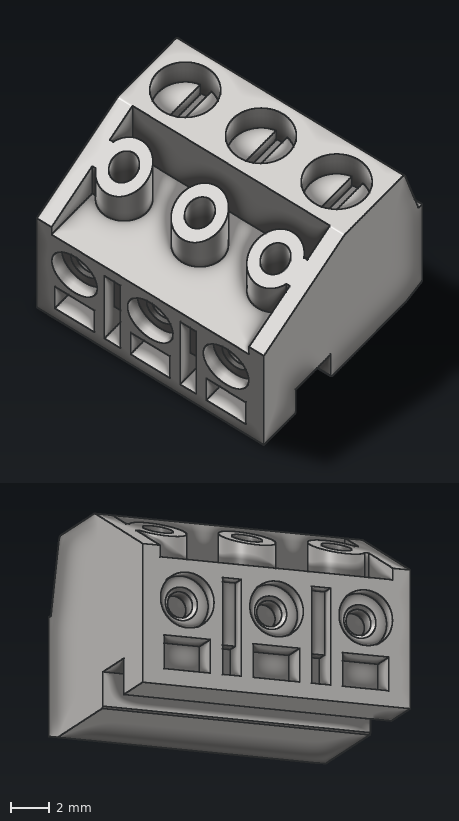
import cadquery as cq

width = 15.0
depth = 13.5
height = 10.8
front_y = -depth / 2
back_y = front_y + depth

pole_count = 3
pitch = 5.0
pole_xs = [(i - (pole_count - 1) / 2) * pitch for i in range(pole_count)]
gap_xs = [(left + right) / 2 for left, right in zip(pole_xs, pole_xs[1:])]

front_height = 7.48
slope_top_y = front_y + 6.9
top_back_y = back_y - 1.52
ledge_depth = 0.32
ledge_z = 6.8
bottom_bevel_length = 1.35
bottom_bevel_height = 0.36
ridge_radius = 0.3

post_y = front_y + 4.22
channel_width = 2.98
channel_height = 1.95
channel_chamfer = 0.1

pocket_width = 13.04
pocket_floor_z = 6.86
post_diameter = 3.0
post_bore_diameter = 1.6
post_rib_width = 1.5

screw_y = front_y + 9.43
screw_hole_diameter = 3.7
screw_head_diameter = 3.6
screw_recess = 1.6
screw_slot_width = 0.73
screw_slot_depth = 0.8

entry_z = 4.67
entry_diameter = 3.0
entry_depth = 0.85
entry_bore_diameter = 1.4
entry_bore_depth = 2.0
entry_bore_chamfer = 0.2

window_width = 2.6
window_bottom_z = 0.85
window_top_z = 2.67
window_depth = 1.6
slot_width = 1.05
slot_top_z = 6.08
slot_depth = entry_depth


def block(center_x, size_x, y_min, y_max, z_min, z_max):
    """Axis-aligned box centred on center_x."""
    box = cq.Workplane("XY").box(size_x, y_max - y_min, z_max - z_min, centered=(True, False, False))
    return box.translate((center_x, y_min, z_min))


def upright_cylinder(x, y, diameter, z_min, z_max):
    return cq.Workplane("XY", origin=(x, y, z_min)).circle(diameter / 2).extrude(z_max - z_min)


def front_cylinder(x, z, diameter, start, length):
    """Cylinder running into the part from a given depth behind the front face."""
    plane = cq.Plane(origin=(x, front_y + start, z), xDir=(1, 0, 0), normal=(0, 1, 0))
    return cq.Workplane(plane).circle(diameter / 2).extrude(length)


def make_envelope():
    """Side profile swept over the full width, with both top ridges rounded."""
    profile = [
        (front_y, 0),
        (front_y, front_height),
        (slope_top_y, height),
        (top_back_y, height),
        (back_y - ledge_depth, ledge_z),
        (back_y, ledge_z),
        (back_y, bottom_bevel_height),
        (back_y - bottom_bevel_length, 0),
    ]
    solid = cq.Workplane("YZ").polyline(profile).close().extrude(width / 2, both=True)
    for ridge_y in (slope_top_y, top_back_y):
        ridge = cq.selectors.NearestToPointSelector((0, ridge_y, height))
        solid = solid.edges(ridge).fillet(ridge_radius)
    return solid


def make_channel():
    """Cross channel whose rear lower edge is slightly broken."""
    channel_front = post_y - channel_width / 2
    channel_back = post_y + channel_width / 2
    profile = [
        (channel_front, 0),
        (channel_front, channel_height),
        (channel_back, channel_height),
        (channel_back, channel_chamfer),
        (channel_back + channel_chamfer, 0),
    ]
    return cq.Workplane("YZ").polyline(profile).close().extrude(width / 2, both=True)


def make_pocket():
    """Front pocket that leaves the posts, and ribs tying the outer posts to the side walls."""
    pocket = block(0, pocket_width, front_y, slope_top_y, pocket_floor_z, height)
    for x in pole_xs:
        pocket = pocket.cut(upright_cylinder(x, post_y, post_diameter, pocket_floor_z, height))
    rib_front = post_y - post_rib_width / 2
    rib_back = post_y + post_rib_width / 2
    wall_x = pocket_width / 2
    for side in (-1, 1):
        rib_length = wall_x - pole_xs[-1]
        rib_center = side * (wall_x - rib_length / 2)
        pocket = pocket.cut(block(rib_center, rib_length, rib_front, rib_back, pocket_floor_z, height))
    return pocket


def make_screw_recess(x):
    """Round hole around a slotted screw head; the gap round the head is as deep as the slot."""
    head_z = height - screw_recess
    floor_z = head_z - screw_slot_depth
    hole_radius = screw_hole_diameter / 2
    hole = upright_cylinder(x, screw_y, screw_hole_diameter, floor_z, height)
    slot = block(x, screw_slot_width, screw_y - hole_radius, screw_y + hole_radius, floor_z, head_z)
    head = upright_cylinder(x, screw_y, screw_head_diameter, floor_z, head_z).cut(slot)
    return hole.cut(head)


def make_wire_entry(x):
    """Counterbored blind bore with a chamfered mouth."""
    bore_radius = entry_bore_diameter / 2
    mouth = cq.Workplane(
        cq.Solid.makeCone(
            bore_radius + entry_bore_chamfer,
            bore_radius,
            entry_bore_chamfer,
            pnt=cq.Vector(x, front_y + entry_depth, entry_z),
            dir=cq.Vector(0, 1, 0),
        )
    )
    bore = front_cylinder(x, entry_z, entry_bore_diameter, entry_depth, entry_bore_depth - entry_depth)
    return front_cylinder(x, entry_z, entry_diameter, 0, entry_depth).union(mouth).union(bore)


def make_window(x, size_x):
    return block(x, size_x, front_y, front_y + window_depth, window_bottom_z, window_top_z)


def make_gap_slot(x):
    """Narrow slot: shallow over its full height, as deep as the windows at its lower end."""
    shallow = block(x, slot_width, front_y, front_y + slot_depth, window_bottom_z, slot_top_z)
    return shallow.union(make_window(x, slot_width))


result = make_envelope().cut(make_channel()).cut(make_pocket())
for pole_x in pole_xs:
    result = result.cut(upright_cylinder(pole_x, post_y, post_bore_diameter, 0, height))
    result = result.cut(make_screw_recess(pole_x))
    result = result.cut(make_wire_entry(pole_x))
    result = result.cut(make_window(pole_x, window_width))
for gap_x in gap_xs:
    result = result.cut(make_gap_slot(gap_x))